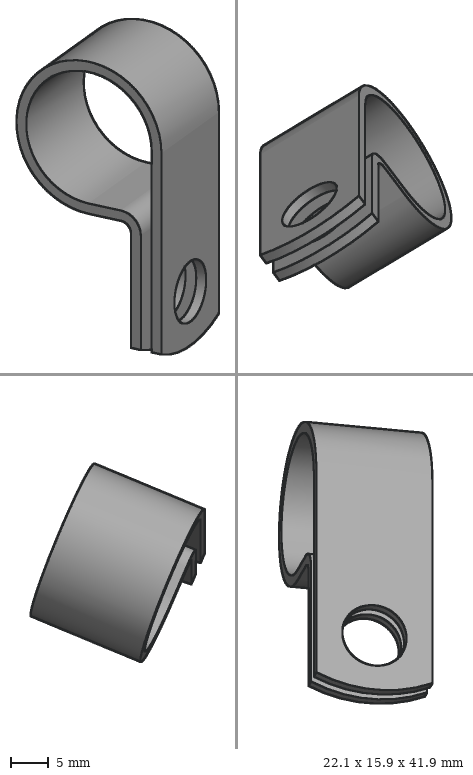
import cadquery as cq
import math

overall_width = 22.1
strap_width = 15.9
overall_height = 41.9
thickness = 1.5
leg_gap = 1.65
bend_inner_radius = 1.5
hole_diameter = 8.75
hole_height = 7.9
end_rise = 1.7

outer_radius = overall_width / 2
inner_radius = outer_radius - thickness
bottom = outer_radius - overall_height
short_leg_right = inner_radius - leg_gap
short_leg_left = short_leg_right - thickness
bend_outer_radius = bend_inner_radius + thickness
bend_x = short_leg_left - bend_inner_radius
bend_z = -outer_radius - bend_inner_radius
diagonal = math.sqrt(0.5)


def bent_strap():
    """Strap profile: long leg, three-quarter loop, bend and short leg."""
    return (
        cq.Workplane("XZ")
        .moveTo(outer_radius, bottom)
        .lineTo(outer_radius, 0)
        .threePointArc((-outer_radius * diagonal, outer_radius * diagonal), (0, -outer_radius))
        .lineTo(bend_x, -outer_radius)
        .threePointArc(
            (bend_x + bend_inner_radius * diagonal, bend_z + bend_inner_radius * diagonal),
            (short_leg_left, bend_z),
        )
        .lineTo(short_leg_left, bottom)
        .lineTo(short_leg_right, bottom)
        .lineTo(short_leg_right, bend_z)
        .threePointArc(
            (bend_x + bend_outer_radius * diagonal, bend_z + bend_outer_radius * diagonal),
            (bend_x, -inner_radius),
        )
        .lineTo(0, -inner_radius)
        .threePointArc((-inner_radius * diagonal, inner_radius * diagonal), (inner_radius, 0))
        .lineTo(inner_radius, bottom)
        .close()
        .extrude(strap_width / 2, both=True)
    )


def rounded_end_envelope():
    """Side outline with a convex lower edge that trims both legs."""
    half_width = strap_width / 2
    return (
        cq.Workplane("YZ")
        .moveTo(-half_width, outer_radius)
        .lineTo(-half_width, bottom + end_rise)
        .threePointArc((0, bottom), (half_width, bottom + end_rise))
        .lineTo(half_width, outer_radius)
        .close()
        .extrude(outer_radius, both=True)
    )


def screw_hole():
    """Cutter along X through both legs."""
    return (
        cq.Workplane("YZ")
        .center(0, bottom + hole_height)
        .circle(hole_diameter / 2)
        .extrude(outer_radius, both=True)
    )


result = bent_strap().intersect(rounded_end_envelope()).cut(screw_hole())